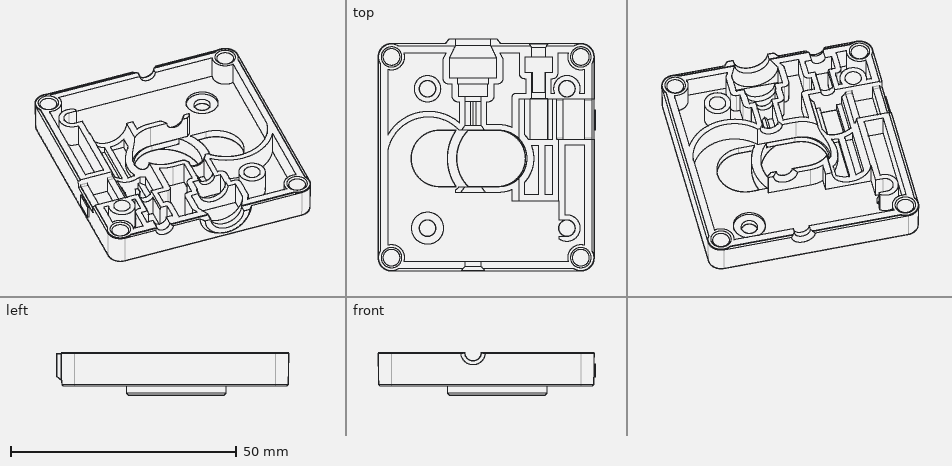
import cadquery as cq


body_left, body_right = -26.45, 21.55
body_front, body_back = -25.0, 25.5
body_height = 7.4
floor_thickness = 1.9
side_wall = 2.15
corner_radius = 3.0
draft_angle = 1
bottom_chamfer = 0.3
rim_step_width, rim_step_height = 0.55, 0.2
partition_wall = 1.25

body_width = body_right - body_left
body_depth = body_back - body_front
body_x = (body_left + body_right) / 2
body_y = (body_front + body_back) / 2
inner_left, inner_right = body_left + side_wall, body_right - side_wall
inner_front, inner_back = body_front + side_wall, body_back - side_wall
above_part = 2 * body_height
outside = 2.6

motor_half_pitch = 15.45
mount_hole_radius = 1.8
mount_tower_radius = 2.95
mount_recess_radius, mount_recess_depth = 3.55, 0.6
ring_outer_radius, ring_inner_radius = 11.1, 8.95
ring_height = 2.05
ring_bore_recess = 0.3
ring_chamfer = 0.45

screw_hole_radius = 1.85
screw_mouth_radius, screw_mouth_depth = 2.25, 0.35
screw_boss_radius = 2.9

slot_radius = 6.3
floor_slot_radius = 6.25
slot_left_centre = -12.85
gear_x = 0.3
gear_wall_radius = slot_radius + partition_wall
gear_wall_left = -9.3
idler_x = -15.2
idler_radius = 9.2
idler_wall_end = -8.15

filament_x = -5.35
filament_radius = 1.8
gear_mouth_radius, gear_mouth_length = 2.5, 1.05
inlet_radius, inlet_length = 2.75, 1.05
trench_back = 12.65
ridge_half_width, ridge_height = 0.6, 1.05
filament_groove_back = 13.9

socket_half_width, socket_front, socket_back = 5.25, 17.85, 22.25
neck_radius, neck_front = 3.45, 16.5
collet_half_width, collet_front = 3.25, 13.75
nozzle_mouth_radius, nozzle_cone_back = 3.9, 25.05
collar_base_radius, collar_tip_radius, collar_length = 6.15, 5.3, 1.05

nozzle_steps = [(6.65, 16.55, 1.2), (4.7, 12.5, 1.45), (3.0, slot_radius, 0)]
nozzle_bevel_width, nozzle_bevel_length = 0.65, 1.25

screw_x = 9.15
tension_radius = 1.55
tension_mouth_radius, tension_mouth_length = 2.1, 0.95
nut_half_width, nut_front, nut_back = 3.05, 19.05, 22.45
shank_half_width, shank_front = 1.4, 14.65
tension_head_half_width, tension_head_front = 4.3, 17.7
tension_neck_half_width = 2.75
tension_corner_radius, cross_wall_corner_radius = 1.2, 0.8

channel_radius = 4.4
channel_front, channel_back = -9.5, 13.2
channel_block_left = 3.3
channel_pocket_half_width = 3.15
channel_pocket_front, channel_pocket_back = -8.0, 2.9
channel_rib_left, channel_rib_right = 9.15, 10.55
channel_keep_radius = 7.85
window_left, window_right = 7.3, 11.2

lever_front = 4.25
bay_left = 14.65
bay_sill = 5.55
bay_sill_fillet = 0.35

hook_wall_left, hook_wall_width = 13.7, 1.35

label_front, label_back = 6.35, 10.7
label_bottom, label_top = 1.95, 4.9
label_thickness = 0.25


def box(x0, x1, y0, y1, z0, z1):
    return cq.Workplane("XY").box(x1 - x0, y1 - y0, z1 - z0, centered=False).translate((x0, y0, z0))


def rod(x, y, radius, z0, z1):
    return cq.Workplane("XY", origin=(x, y, z0)).circle(radius).extrude(z1 - z0)


def partition(x0, x1, y0, y1):
    """Block that stands on the floor and reaches the rim."""
    return box(x0, x1, y0, y1, floor_thickness, body_height)


def centred_partition(x, half_width, y0, y1):
    return partition(x - half_width, x + half_width, y0, y1)


def tower(x, y, radius):
    """Round post that stands on the floor and reaches the rim."""
    return rod(x, y, radius, floor_thickness, body_height)


def turned(x, profile):
    """Solid turned about a Y-parallel axis in the rim plane; profile holds (y, radius) pairs."""
    outline = [(0, profile[0][0])]
    outline += [(radius, y) for y, radius in profile]
    outline += [(0, profile[-1][0])]
    solid = cq.Workplane("XY").polyline(outline).close().revolve(360, (0, 0, 0), (0, 1, 0))
    return solid.translate((x, 0, body_height))


def rounded_slab(inset, z0, z1, taper=0):
    """Slab with the body outline moved inwards; the outline lies at z1 and tapers downwards."""
    return (
        cq.Workplane("XY", origin=(body_x, body_y, z1))
        .sketch()
        .rect(body_width - 2 * inset, body_depth - 2 * inset)
        .vertices()
        .fillet(corner_radius - inset)
        .finalize()
        .extrude(z0 - z1, taper=taper)
    )


def shell():
    step_z = body_height - rim_step_height
    lower = rounded_slab(0, 0, step_z, draft_angle).faces("<Z").chamfer(bottom_chamfer)
    lip = rounded_slab(rim_step_width, step_z, body_height)
    cavity = box(inner_left, inner_right, inner_front, inner_back, floor_thickness, body_height)
    return lower.union(lip).cut(cavity)


corners = [
    (x, y)
    for x in (body_left + corner_radius, body_right - corner_radius)
    for y in (body_front + corner_radius, body_back - corner_radius)
]
mount_points = [(i * motor_half_pitch, j * motor_half_pitch) for i in (-1, 1) for j in (-1, 1)]


def nozzle_block():
    """Stepped block around the nozzle socket, bevelled where it meets the back wall."""
    block = cq.Workplane("XY")
    for half_width, front, rounding in nozzle_steps:
        step = centred_partition(filament_x, half_width, front, inner_back)
        if rounding:
            step = step.edges("|Z and <Y").fillet(rounding)
        block = block.union(step)
    for side in (-1, 1):
        bevel = (
            cq.Workplane("XY", origin=(filament_x + side * nozzle_steps[0][0], inner_back, 0))
            .polyline([(0, -nozzle_bevel_length), (0, 0), (-side * nozzle_bevel_width, 0)])
            .close()
            .extrude(body_height)
        )
        block = block.cut(bevel)
    return block


def tension_block():
    head = centred_partition(screw_x, tension_head_half_width, tension_head_front, inner_back)
    head = head.edges("|Z and <Y").fillet(tension_corner_radius)
    neck = centred_partition(screw_x, tension_neck_half_width, channel_back, inner_back)
    cross_wall = partition(channel_block_left, inner_right, channel_back, channel_back + partition_wall)
    cross_wall = cross_wall.edges("|Z and <X and >Y").fillet(cross_wall_corner_radius)
    return head.union(neck).union(cross_wall)


def gear_wall():
    """Wall around the gear, open towards the idler."""
    straight = partition(gear_wall_left, gear_x, -gear_wall_radius, gear_wall_radius)
    return straight.union(tower(gear_x, 0, gear_wall_radius)).cut(tower(idler_x, 0, idler_radius))


def idler_wall():
    ring = tower(idler_x, 0, idler_radius + partition_wall).cut(tower(idler_x, 0, idler_radius))
    return ring.intersect(partition(inner_left, idler_wall_end, 0, inner_back))


def channel_block():
    """Block under the spring channel with the walls of the lever bay."""
    block = partition(channel_block_left, hook_wall_left, channel_front, channel_back)
    bay_side = partition(hook_wall_left, bay_left, lever_front, channel_back)
    bay_end = partition(hook_wall_left, inner_right, lever_front - partition_wall, lever_front)
    return block.union(bay_side).union(bay_end)


def mount_hook():
    """Wall from the lever bay to a hook around the front right mount hole."""
    x, y = motor_half_pitch, -motor_half_pitch
    hook = tower(x, y, mount_tower_radius)
    hook = hook.intersect(partition(hook_wall_left, inner_right, y - mount_tower_radius, lever_front))
    straight = partition(hook_wall_left, hook_wall_left + hook_wall_width, y, lever_front)
    gap = partition(hook_wall_left, x, y - mount_hole_radius, y + mount_hole_radius)
    return hook.union(straight).cut(gap)


def nozzle_collar():
    """Half round collar around the nozzle, standing out of the back wall."""
    collar = turned(
        filament_x,
        [
            (inner_back, collar_base_radius),
            (body_back, collar_base_radius),
            (body_back + collar_length, collar_tip_radius),
        ],
    )
    top = body_height - rim_step_height
    return collar.intersect(box(body_left, body_right, inner_back, body_back + outside, 0, top))


def label_plate():
    """Thin raised plate on the right side."""
    return box(
        inner_right, body_right + label_thickness, label_front, label_back, label_bottom, label_top
    )


def register_ring():
    """Ring that centres on the motor; it crosses the slot up to floor level."""
    ring = rod(0, 0, ring_outer_radius, -ring_height, floor_thickness)
    ring = ring.faces("<Z").chamfer(ring_chamfer)
    return ring.cut(rod(0, 0, ring_inner_radius, -ring_height, floor_thickness))


def round_ended_slot(right_centre, radius, z0, z1):
    bar = box(slot_left_centre, right_centre, -radius, radius, z0, z1)
    for centre in (slot_left_centre, right_centre):
        bar = bar.union(rod(centre, 0, radius, z0, z1))
    return bar


def gear_slot():
    """Slot through the floor and the slightly larger gear space above it."""
    through = round_ended_slot(0, floor_slot_radius, 0, floor_thickness)
    return through.union(round_ended_slot(gear_x, slot_radius, floor_thickness, body_height))


def nozzle_socket():
    cone = turned(
        filament_x,
        [
            (socket_back, socket_half_width),
            (nozzle_cone_back, nozzle_mouth_radius),
            (body_back + outside, nozzle_mouth_radius),
        ],
    )
    socket = centred_partition(filament_x, socket_half_width, socket_front, socket_back)
    neck = turned(filament_x, [(neck_front, neck_radius), (socket_front, neck_radius)])
    collet = centred_partition(filament_x, collet_half_width, collet_front, neck_front)
    return cone.union(socket).union(neck).union(collet)


def filament_path():
    """Half round groove with a deep trench along it; a low ridge lies in the trench."""
    trench_front = slot_radius + gear_mouth_length
    groove = turned(
        filament_x,
        [
            (slot_radius, gear_mouth_radius),
            (trench_front, filament_radius),
            (filament_groove_back, filament_radius),
        ],
    )
    trench = centred_partition(filament_x, filament_radius, trench_front, trench_back)
    ridge = (
        cq.Workplane("XZ", origin=(filament_x, trench_front, floor_thickness))
        .polyline([(-ridge_half_width, 0), (ridge_half_width, 0), (0, ridge_height)])
        .close()
        .extrude(trench_front - trench_back)
    )
    return groove.union(trench.cut(ridge))


def filament_inlets():
    """Funnel shaped inlets in the gear wall and in the front wall."""
    gear_inlet = turned(
        filament_x, [(-gear_wall_radius, inlet_radius), (-slot_radius, filament_radius)]
    )
    wall_inlet = turned(
        filament_x,
        [
            (body_front, inlet_radius),
            (body_front + inlet_length, filament_radius),
            (inner_front, filament_radius),
        ],
    )
    return gear_inlet.union(wall_inlet)


def tension_path():
    bore = turned(
        screw_x,
        [
            (channel_back, tension_radius),
            (body_back - tension_mouth_length, tension_radius),
            (body_back, tension_mouth_radius),
        ],
    )
    nut = centred_partition(screw_x, nut_half_width, nut_front, nut_back)
    shank = centred_partition(screw_x, shank_half_width, shank_front, nut_front)
    return bore.union(nut).union(shank)


def spring_channel():
    """Half round channel with pockets down to the floor and a window through the floor."""
    groove = turned(screw_x, [(channel_front, channel_radius), (channel_back, channel_radius)])
    rear = centred_partition(screw_x, channel_pocket_half_width, lever_front, channel_back)
    front = centred_partition(
        screw_x, channel_pocket_half_width, channel_pocket_front, channel_pocket_back
    )
    rib = partition(channel_rib_left, channel_rib_right, channel_pocket_front, channel_pocket_back)
    pockets = rear.union(front).cut(rib).cut(tower(gear_x, 0, channel_keep_radius))
    window = box(window_left, window_right, lever_front, channel_back, -ring_height, body_height)
    return groove.union(pockets).union(window)


def lever_bay():
    """Bay right of the channel, with the walls on both of its sides cut lower."""
    bay = partition(bay_left, inner_right, lever_front, channel_back)
    lowered = box(screw_x, body_right + outside, lever_front, channel_back, bay_sill, above_part)
    lowered = lowered.edges("|X and <Z").fillet(bay_sill_fillet)
    outer_step = box(
        body_right - rim_step_width,
        body_right + outside,
        lever_front,
        channel_back,
        bay_sill - rim_step_height,
        body_height,
    )
    return bay.union(lowered).union(outer_step)


def mount_openings():
    """Through holes for the motor screws; the front left one has a round recess."""
    openings = rod(
        -motor_half_pitch,
        -motor_half_pitch,
        mount_recess_radius,
        floor_thickness - mount_recess_depth,
        floor_thickness,
    )
    for x, y in mount_points:
        openings = openings.union(rod(x, y, mount_hole_radius, 0, body_height))
    return openings


def screw_openings():
    """Blind corner holes with conical mouths."""
    openings = cq.Workplane("XY")
    mouth_bottom = body_height - screw_mouth_depth
    for x, y in corners:
        mouth = cq.Solid.makeCone(
            screw_hole_radius, screw_mouth_radius, screw_mouth_depth, cq.Vector(x, y, mouth_bottom)
        )
        openings = openings.union(tower(x, y, screw_hole_radius)).union(cq.Workplane(mouth))
    return openings


result = shell()
for feature in (
    nozzle_block(),
    tension_block(),
    gear_wall(),
    idler_wall(),
    channel_block(),
    mount_hook(),
    nozzle_collar(),
    label_plate(),
):
    result = result.union(feature)
for x, y in mount_points:
    if y > 0:
        result = result.union(tower(x, y, mount_tower_radius))
for x, y in corners:
    result = result.union(tower(x, y, screw_boss_radius))

ring_bore = rod(0, 0, ring_inner_radius, 0, ring_bore_recess)
result = result.cut(gear_slot()).cut(ring_bore).union(register_ring())
for opening in (
    nozzle_socket(),
    filament_path(),
    filament_inlets(),
    tension_path(),
    spring_channel(),
    lever_bay(),
    mount_openings(),
    screw_openings(),
):
    result = result.cut(opening)